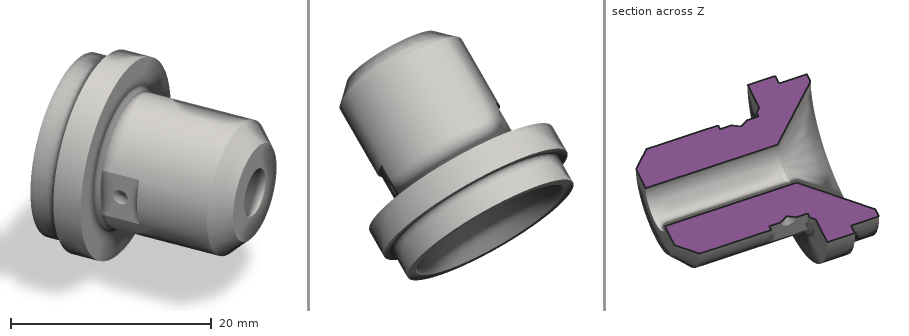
import cadquery as cq
import math

total_length = 20.22
flange_dia = 21.0
lip_dia = 19.0
body_dia = 14.0
mouth_dia = 17.0
bore_dia = 5.0

lip_length = 3.0
flange_length = 3.0
neck_chamfer = 0.46
end_chamfer = 1.93

flat_length = 4.1
flat_spacing = 12.98
dimple_dia = 1.64
dimple_point_angle = 118.0

flange_back = lip_length + flange_length
flat_start = flange_back + neck_chamfer
flat_middle = flat_start + flat_length / 2
mouth_depth = (mouth_dia - bore_dia) / 2
dimple_depth = dimple_dia / 2 / math.tan(math.radians(dimple_point_angle / 2))


def turned_body():
    """Revolve the lip, flange, body, funnel mouth and through bore."""
    body_radius = body_dia / 2
    half_section = [
        (0, mouth_dia / 2),
        (0, lip_dia / 2),
        (lip_length, lip_dia / 2),
        (lip_length, flange_dia / 2),
        (flange_back, flange_dia / 2),
        (flange_back, body_radius + neck_chamfer),
        (flat_start, body_radius),
        (total_length - end_chamfer, body_radius),
        (total_length, body_radius - end_chamfer),
        (total_length, bore_dia / 2),
        (mouth_depth, bore_dia / 2),
    ]
    profile = cq.Workplane("XY").polyline(half_section).close()
    return profile.revolve(360, (0, 0, 0), (1, 0, 0))


def flat_cutter(side):
    """Block that mills one flat; side is -1 for -Y and +1 for +Y."""
    thickness = (flange_dia - flat_spacing) / 2
    middle_y = side * (flat_spacing + thickness) / 2
    block = cq.Workplane("XY").box(flat_length, thickness, body_dia)
    return block.translate((flat_middle, middle_y, 0))


def dimple_cutter(side):
    """Cone that sinks a conical dimple into the middle of one flat."""
    cone = cq.Solid.makeCone(
        dimple_dia / 2,
        0,
        dimple_depth,
        pnt=cq.Vector(flat_middle, side * flat_spacing / 2, 0),
        dir=cq.Vector(0, -side, 0),
    )
    return cq.Workplane("XY").add(cone)


result = turned_body()
for side in (-1, 1):
    result = result.cut(flat_cutter(side)).cut(dimple_cutter(side))